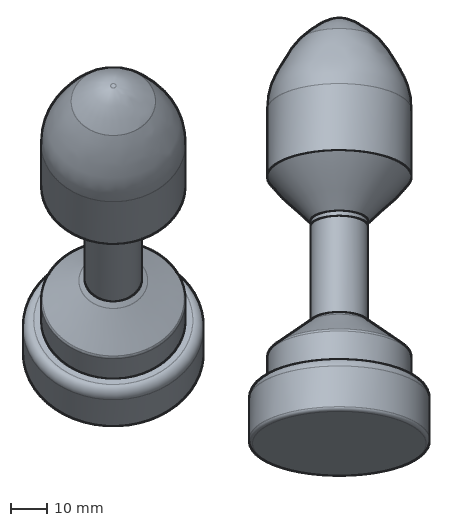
import cadquery as cq
import math


total_height = 126.0
electrode_radius = 40.0 / 2
stem_radius = 16.0 / 2

base_radius = 50.0 / 2
base_height = 16.1
base_top_round = 3.0
base_bottom_round = 1.0

collar_edge_z = 26.0
collar_edge_round = 1.0
collar_lip_radius = 19.0 / 2
collar_lip_z = 34.6
collar_top_z = 35.9

head_bottom_z = 64.5
neck_top_z = 66.0
flare_lower_radius = 12.0
flare_lower_z = 70.3
flare_upper_radius = 16.6
flare_upper_z = 75.0
head_cylinder_bottom_z = 79.3
nose_bottom_z = 99.0
nose_lower_radius = 19.3
nose_lower_z = 104.8
nose_upper_radius = 16.5
nose_upper_z = 111.1
tip_bottom_radius = 23.3 / 2
tip_bottom_z = 118.7
tip_middle_radius = 8.2
tip_middle_z = 122.0
tip_flat_radius = 0.8
tip_crown_angle = 80.0
tip_seam_angle = 40.0


def revolve_profile(profile):
    """Turn a closed half profile, drawn as (radius, height), about the Z axis."""
    return profile.close().revolve(360, (0, 0, 0), (0, 1, 0))


def make_base():
    puck = cq.Workplane("XY").circle(base_radius).extrude(base_height)
    puck = puck.faces(">Z").edges().fillet(base_top_round)
    return puck.faces("<Z").edges().fillet(base_bottom_round)


def make_collar():
    profile = (
        cq.Workplane("XZ")
        .moveTo(0, base_height)
        .lineTo(electrode_radius, base_height)
        .lineTo(electrode_radius, collar_edge_z)
        .lineTo(collar_lip_radius, collar_lip_z)
        .lineTo(stem_radius, collar_top_z)
        .lineTo(0, collar_top_z)
    )
    shoulder = cq.selectors.BoxSelector(
        (-base_radius, -base_radius, collar_edge_z - collar_edge_round),
        (base_radius, base_radius, collar_edge_z + collar_edge_round),
    )
    collar = revolve_profile(profile)
    return collar.edges(shoulder).edges("%CIRCLE").fillet(collar_edge_round)


def make_stem():
    stem_length = head_bottom_z - collar_top_z
    return cq.Workplane("XY").workplane(offset=collar_top_z).circle(stem_radius).extrude(stem_length)


def make_head():
    straight_up = (0, 1)
    crown_lean = math.radians(tip_crown_angle)
    seam_lean = math.radians(tip_seam_angle)
    crown_direction = (-math.sin(crown_lean), math.cos(crown_lean))
    seam_direction = (-math.sin(seam_lean), math.cos(seam_lean))

    flare_points = [
        (flare_lower_radius, flare_lower_z),
        (flare_upper_radius, flare_upper_z),
        (electrode_radius, head_cylinder_bottom_z),
    ]
    nose_points = [
        (nose_lower_radius, nose_lower_z),
        (nose_upper_radius, nose_upper_z),
        (tip_bottom_radius, tip_bottom_z),
    ]
    tip_points = [
        (tip_middle_radius, tip_middle_z),
        (tip_flat_radius, total_height),
    ]
    profile = (
        cq.Workplane("XZ")
        .moveTo(0, head_bottom_z)
        .lineTo(stem_radius, head_bottom_z)
        .lineTo(stem_radius, neck_top_z)
        .spline(flare_points, includeCurrent=True)
        .lineTo(electrode_radius, nose_bottom_z)
        .spline(nose_points, tangents=[straight_up, seam_direction], includeCurrent=True)
        .spline(tip_points, tangents=[seam_direction, crown_direction], includeCurrent=True)
        .lineTo(0, total_height)
    )
    return revolve_profile(profile)


base = make_base()
collar = make_collar()
stem = make_stem()
head = make_head()

result = cq.Compound.makeCompound([base.val(), collar.val(), stem.val(), head.val()])